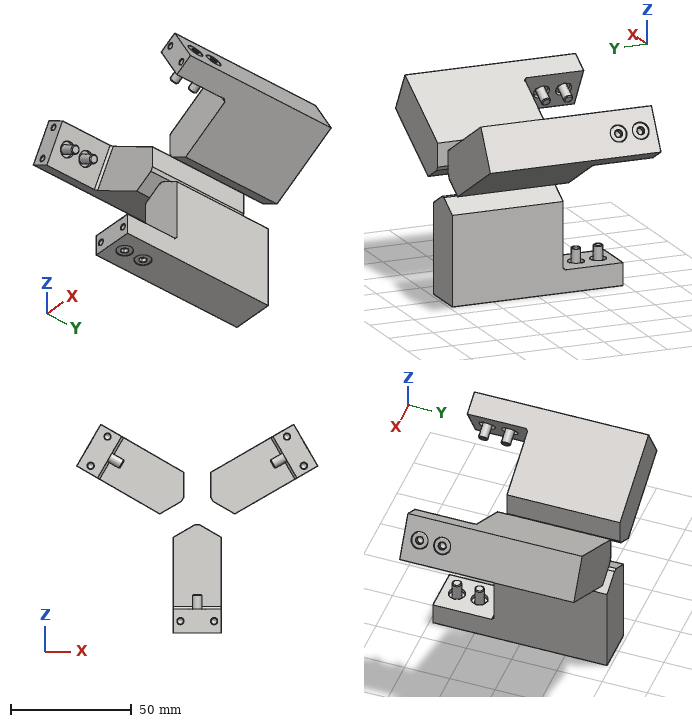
import cadquery as cq
import math


jaw_count = 3
outer_radius = 52.0

jaw_width = 20.0
jaw_height = 45.0
block_length = 50.0
foot_length = 27.0
foot_thickness = 10.0
corner_chamfer = 1.0
tip_flat_width = 2.0
tip_slope = math.radians(30)

half_width = jaw_width / 2
outer_z = -outer_radius
tip_z = outer_z + jaw_height
foot_top_z = outer_z + foot_thickness
shoulder_z = tip_z - (half_width - tip_flat_width / 2) * math.tan(tip_slope)
foot_end_y = -foot_length

screws_per_jaw = 2
screw_spacing = 10.0
first_screw_inset = 7.0
screw_positions = [foot_end_y + first_screw_inset + i * screw_spacing for i in range(screws_per_jaw)]
head_diameter = 7.0
head_height = 4.0
shank_diameter = 4.0
shank_length = 12.0
shank_chamfer = 0.4
head_fillet = 0.4
socket_size = 3.0
socket_depth = 2.0
hexagon_half_sector = 30
socket_corner_diameter = socket_size / math.cos(math.radians(hexagon_half_sector))
socket_cone_angle = math.radians(120)
socket_cone_depth = socket_size / 2 / math.tan(socket_cone_angle / 2)

counterbore_diameter = 7.4
inner_recess_diameter = 7.0
inner_recess_depth = 1.6
clearance_diameter = 4.3

tapped_diameter = 2.46
tapped_depth = 8.0
tapped_spacing = 14.0
tapped_z = outer_z + foot_thickness / 2
countersink_diameter = 3.0
countersink_depth = (countersink_diameter - tapped_diameter) / 2
drill_point_angle = math.radians(118)
drill_point_depth = tapped_diameter / 2 / math.tan(drill_point_angle / 2)


def screw_hole(y):
    """Cutter for a through hole with a head counterbore outside and a recess inside."""
    at_outer_face = cq.Workplane("XY", origin=(0, y, outer_z))
    at_foot_top = cq.Workplane("XY", origin=(0, y, foot_top_z))
    clearance = at_outer_face.circle(clearance_diameter / 2).extrude(foot_thickness)
    counterbore = at_outer_face.circle(counterbore_diameter / 2).extrude(head_height)
    recess = at_foot_top.circle(inner_recess_diameter / 2).extrude(-inner_recess_depth)
    return clearance.union(counterbore).union(recess)


def tapped_hole(x):
    """Cutter for a blind hole along Y with a countersunk mouth and a drill point."""
    radius = tapped_diameter / 2
    profile = (
        cq.Workplane("XY", origin=(x, foot_end_y, tapped_z))
        .lineTo(countersink_diameter / 2, 0)
        .lineTo(radius, countersink_depth)
        .lineTo(radius, tapped_depth)
        .lineTo(0, tapped_depth + drill_point_depth)
        .close()
    )
    return profile.revolve(360, (0, 0), (0, 1))


def make_jaw():
    """Block with a roof-shaped tip, and a foot that carries the screws."""
    side_profile = (
        cq.Workplane("YZ", origin=(-half_width, 0, 0))
        .moveTo(foot_end_y, outer_z)
        .lineTo(block_length, outer_z)
        .lineTo(block_length, tip_z)
        .lineTo(0, tip_z)
        .lineTo(0, foot_top_z + corner_chamfer)
        .lineTo(-corner_chamfer, foot_top_z)
        .lineTo(foot_end_y, foot_top_z)
        .close()
    )
    front_profile = (
        cq.Workplane("XZ", origin=(0, block_length, 0))
        .moveTo(-half_width, outer_z)
        .lineTo(half_width, outer_z)
        .lineTo(half_width, shoulder_z)
        .lineTo(tip_flat_width / 2, tip_z)
        .lineTo(-tip_flat_width / 2, tip_z)
        .lineTo(-half_width, shoulder_z)
        .close()
    )
    side_prism = side_profile.extrude(jaw_width)
    front_prism = front_profile.extrude(block_length + foot_length)
    jaw = side_prism.intersect(front_prism)
    for y in screw_positions:
        jaw = jaw.cut(screw_hole(y))
    for x in (-tapped_spacing / 2, tapped_spacing / 2):
        jaw = jaw.cut(tapped_hole(x))
    return jaw


def socket_cutter():
    """Cutter for a hexagon socket along +Z with a 45 degree mouth and a conical floor."""
    hexagon = (
        cq.Workplane("XY")
        .transformed(rotate=(0, 0, hexagon_half_sector))
        .polygon(6, socket_corner_diameter)
        .extrude(socket_depth)
    )
    mouth_radius = socket_corner_diameter / 2
    mouth = cq.Solid.makeCone(mouth_radius, 0, mouth_radius)
    floor_centre = cq.Vector(0, 0, socket_depth)
    floor = cq.Solid.makeCone(socket_size / 2, 0, socket_cone_depth, floor_centre, cq.Vector(0, 0, 1))
    return hexagon.union(cq.Workplane(mouth)).union(cq.Workplane(floor))


def make_screw(y):
    """Socket head cap screw with its head flush with the outer face of the foot."""
    head = (
        cq.Workplane("XY")
        .circle(head_diameter / 2)
        .extrude(head_height)
        .faces("<Z")
        .edges()
        .fillet(head_fillet)
    )
    shank = (
        cq.Workplane("XY", origin=(0, 0, head_height))
        .circle(shank_diameter / 2)
        .extrude(shank_length)
        .faces(">Z")
        .chamfer(shank_chamfer)
    )
    return head.union(shank).cut(socket_cutter()).translate((0, y, outer_z))


def turn_into_place(body, index):
    """Turn a body about the Y axis to the jaw position with the given index."""
    return body.rotate((0, 0, 0), (0, 1, 0), index * 360 / jaw_count)


bodies = []
for jaw_index in range(jaw_count):
    bodies.append(turn_into_place(make_jaw(), jaw_index).val())
    for screw_y in screw_positions:
        bodies.append(turn_into_place(make_screw(screw_y), jaw_index).val())

result = cq.Compound.makeCompound(bodies)